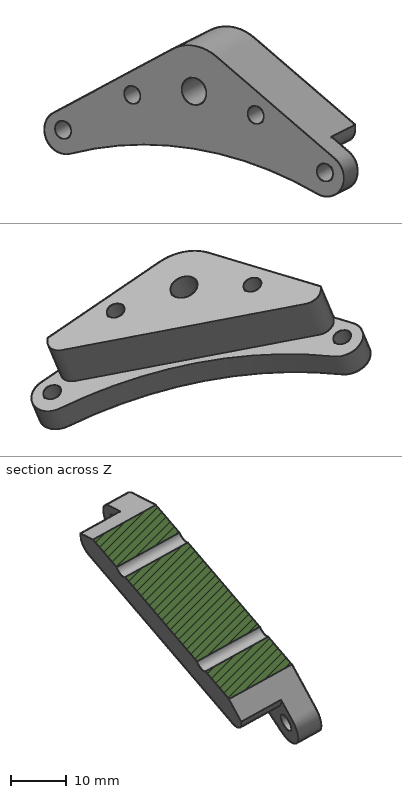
import cadquery as cq
import math

length = 61.65
depth = 13.7
height = 24.2

plate_thickness = 5.05
lobe_radius = 4.0
apex_radius = 8.5
arch_rise = 4.95
lobe_x = length / 2 - lobe_radius
lobe_z = lobe_radius
apex_z = height - apex_radius

block_length = 50.8
block_bottom = 6.1
block_corner_radius = 2.7

main_hole_diameter = 5.05
small_hole_diameter = 3.3
inner_hole_x = 12.7
inner_hole_z = 13.15
end_hole_x = 26.95
end_hole_z = 4.5

center_drop = apex_z - lobe_z
center_distance = math.hypot(lobe_x, center_drop)
slope_angle = math.atan2(center_drop, lobe_x) + math.asin((apex_radius - lobe_radius) / center_distance)
normal_x = math.sin(slope_angle)
normal_z = math.cos(slope_angle)
apex_tangent = (apex_radius * normal_x, apex_z + apex_radius * normal_z)
lobe_tangent = (lobe_x + lobe_radius * normal_x, lobe_z + lobe_radius * normal_z)

lobe_offset = lobe_z - arch_rise
arch_radius = (lobe_x**2 + lobe_offset**2 - lobe_radius**2) / (2 * (lobe_radius - lobe_offset))
arch_center_z = arch_rise - arch_radius
touch_ratio = arch_radius / (arch_radius + lobe_radius)
arch_end = (lobe_x * touch_ratio, arch_center_z + (lobe_z - arch_center_z) * touch_ratio)


def mirrored(point):
    return (-point[0], point[1])


def front_workplane():
    """XZ sketch plane whose extrusions run toward +Y."""
    return cq.Workplane("XZ")


def extruded_outline(thickness):
    lobe_tip = (lobe_x + lobe_radius, lobe_z)
    return (
        front_workplane()
        .moveTo(*mirrored(apex_tangent))
        .threePointArc((0, height), apex_tangent)
        .lineTo(*lobe_tangent)
        .threePointArc(lobe_tip, arch_end)
        .threePointArc((0, arch_rise), mirrored(arch_end))
        .threePointArc(mirrored(lobe_tip), mirrored(lobe_tangent))
        .close()
        .extrude(-thickness)
    )


def rear_block():
    """Full-depth outline trimmed to a shorter box with rounded lower corners."""
    trimming_box = (
        cq.Workplane("XY", origin=(0, 0, block_bottom))
        .box(block_length, depth, height - block_bottom, centered=(True, False, False))
        .edges("|Y and <Z")
        .fillet(block_corner_radius)
    )
    return extruded_outline(depth).intersect(trimming_box)


def through_holes(points, diameter):
    return front_workplane().pushPoints(points).circle(diameter / 2).extrude(-depth)


small_hole_points = [
    (side * x, z)
    for side in (-1, 1)
    for x, z in ((inner_hole_x, inner_hole_z), (end_hole_x, end_hole_z))
]

body = extruded_outline(plate_thickness).union(rear_block())
body = body.cut(through_holes([(0, apex_z)], main_hole_diameter))
result = body.cut(through_holes(small_hole_points, small_hole_diameter))